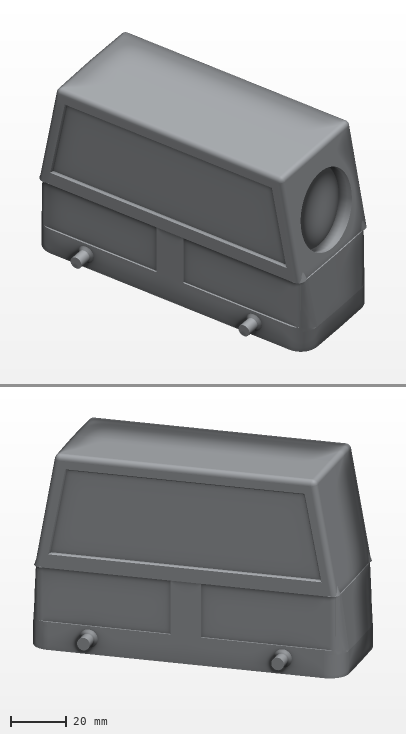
import cadquery as cq
import math

LENGTH = 120.0
HEIGHT = 76.0
PIN_SPAN = 55.6

FOOT_HALF_Y = 21.4
FOOT_HEIGHT = 9.0
FOOT_CORNER = 7.3

LEDGE_Z = 31.9
SKIRT_TOP_HALF_X = 58.1
SKIRT_TOP_CORNER = 4.0

PANEL_BOTTOM_Z = 10.8
PANEL_HALF_Y = 20.7
PANEL_CORNER = 3.2
END_FACE_HALF_Y = 20.2
RIB_HALF_WIDTH = 5.8

HOOD_HALF_Y = 22.4
HOOD_BOTTOM_HALF_X = 57.7
END_SLOPE = math.radians(10.2)
EDGE_FILLET = 2.1
CROWN = 0.2

HUMP_Y = 19.3
HUMP_HEIGHT = 3.5

WINDOW_BOTTOM_Z = 37.2
WINDOW_TOP_Z = 70.6
WINDOW_BOTTOM_HALF_X = 51.9
WINDOW_TOP_HALF_X = 45.5
WINDOW_DEPTH = 1.0
WINDOW_DRAFT_DEG = 30.0

ENTRY_DIAMETER = 32.0
ENTRY_Z = 50.8
ENTRY_DEPTH = 6.0

PIN_X = 36.9
PIN_Z = 6.0
PIN_DIAMETER = 4.8
COLLAR_DIAMETER = 7.0
COLLAR_HEIGHT = 1.1


def plan_outline(half_x, half_y, corner):
    """Rounded rectangle whose two short sides are slightly pointed at y = 0."""
    side_x = half_x - CROWN
    right = [(side_x, -half_y), (half_x, 0), (side_x, half_y)]
    left = [(-x, -y) for x, y in right]
    outline = cq.Sketch().polygon(right + left + right[:1])
    return outline.vertices(">Y or <Y").fillet(corner).reset()


def make_foot():
    outline = plan_outline(LENGTH / 2, FOOT_HALF_Y, FOOT_CORNER)
    return cq.Workplane("XY").placeSketch(outline).extrude(FOOT_HEIGHT)


def make_skirt():
    bottom = plan_outline(LENGTH / 2, FOOT_HALF_Y, FOOT_CORNER)
    top = plan_outline(SKIRT_TOP_HALF_X, FOOT_HALF_Y, SKIRT_TOP_CORNER)
    top = top.moved(cq.Location(cq.Vector(0, 0, LEDGE_Z - FOOT_HEIGHT)))
    skirt = cq.Workplane("XY", origin=(0, 0, FOOT_HEIGHT)).placeSketch(bottom, top).loft()

    panel_height = LEDGE_Z - PANEL_BOTTOM_Z
    level = cq.Workplane("XY", origin=(0, 0, PANEL_BOTTOM_Z))
    around = level.rect(2 * LENGTH, LENGTH).extrude(panel_height)
    end_core = level.rect(LENGTH, 2 * END_FACE_HALF_Y).extrude(panel_height)
    core = (
        level.rect(2 * SKIRT_TOP_HALF_X, 2 * PANEL_HALF_Y)
        .extrude(panel_height)
        .edges("|Z")
        .fillet(PANEL_CORNER)
    )
    rib = level.rect(2 * RIB_HALF_WIDTH, 2 * FOOT_HALF_Y).extrude(panel_height)
    return skirt.cut(around.cut(core).cut(end_core).cut(rib))


def make_hood():
    """Trapezoid block whose ends and top fall away slightly from y = 0 to the long sides."""
    start_z = LEDGE_Z - EDGE_FILLET
    bottom_x = HOOD_BOTTOM_HALF_X + EDGE_FILLET * math.tan(END_SLOPE)
    top_x = HOOD_BOTTOM_HALF_X - (HEIGHT - LEDGE_Z) * math.tan(END_SLOPE)
    corners = [(-bottom_x, start_z), (bottom_x, start_z), (top_x, HEIGHT), (-top_x, HEIGHT)]
    taper = math.degrees(math.atan(CROWN / HOOD_HALF_Y))
    half = cq.Workplane("XZ").polyline(corners).close().extrude(HOOD_HALF_Y, taper=taper)
    below_ledge = cq.Workplane("XY").rect(2 * LENGTH, LENGTH).extrude(LEDGE_Z)
    half = half.cut(below_ledge)

    long_side_edges = half.faces("<Y").edges("not <Z")
    top_end_edges = half.faces(">Z").edges("<X or >X")
    half = long_side_edges.add(top_end_edges).fillet(EDGE_FILLET)
    return half.union(half.mirror("XZ"))


def make_corner_hump(x_sign, y_sign):
    """Cone whose tip circle just touches the sloping end of the hood."""
    centre_x = SKIRT_TOP_HALF_X - PANEL_CORNER
    tip_x = HOOD_BOTTOM_HALF_X - HUMP_HEIGHT * math.tan(END_SLOPE)
    base = cq.Vector(x_sign * centre_x, y_sign * HUMP_Y, LEDGE_Z)
    cone = cq.Solid.makeCone(
        PANEL_CORNER, tip_x - centre_x - CROWN, HUMP_HEIGHT, base, cq.Vector(0, 0, 1)
    )
    return cq.Workplane(cone)


def make_window():
    """Cutter for the -Y window; it narrows towards its floor."""
    corners = [
        (-WINDOW_BOTTOM_HALF_X, WINDOW_BOTTOM_Z),
        (WINDOW_BOTTOM_HALF_X, WINDOW_BOTTOM_Z),
        (WINDOW_TOP_HALF_X, WINDOW_TOP_Z),
        (-WINDOW_TOP_HALF_X, WINDOW_TOP_Z),
    ]
    return (
        cq.Workplane("XZ", origin=(0, -HOOD_HALF_Y, 0))
        .polyline(corners)
        .close()
        .extrude(-WINDOW_DEPTH, taper=WINDOW_DRAFT_DEG)
    )


def make_cable_entry():
    """Blind bore square to the sloping +X end."""
    face_x = HOOD_BOTTOM_HALF_X - (ENTRY_Z - LEDGE_Z) * math.tan(END_SLOPE)
    inward = cq.Vector(-math.cos(END_SLOPE), 0, -math.sin(END_SLOPE))
    centre = cq.Vector(face_x, 0, ENTRY_Z)
    start = centre - inward * ENTRY_DEPTH
    bore = cq.Solid.makeCylinder(ENTRY_DIAMETER / 2, 2 * ENTRY_DEPTH, start, inward)
    return cq.Workplane(bore)


def make_pin(x):
    """Pin with a conical collar on the -Y side."""
    outward = cq.Vector(0, -1, 0)
    root = cq.Vector(x, -FOOT_HALF_Y, PIN_Z)
    collar = cq.Solid.makeCone(
        COLLAR_DIAMETER / 2, PIN_DIAMETER / 2, COLLAR_HEIGHT, root, outward
    )
    axis_start = cq.Vector(x, 0, PIN_Z)
    pin = cq.Solid.makeCylinder(PIN_DIAMETER / 2, PIN_SPAN / 2, axis_start, outward)
    return cq.Workplane(pin).union(cq.Workplane(collar))


result = make_foot().union(make_skirt()).union(make_hood())

for x_sign in (-1, 1):
    for y_sign in (-1, 1):
        result = result.union(make_corner_hump(x_sign, y_sign))

window = make_window()
result = result.cut(window).cut(window.mirror("XZ"))
result = result.cut(make_cable_entry())

for pin_x in (-PIN_X, PIN_X):
    pin = make_pin(pin_x)
    result = result.union(pin).union(pin.mirror("XZ"))